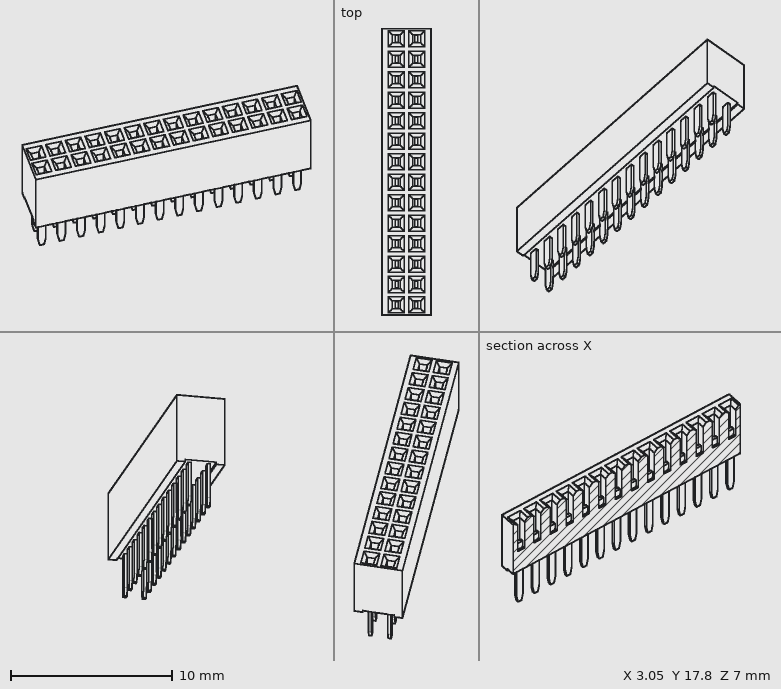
import cadquery as cq

TOTAL_HEIGHT = 7.0
HOUSING_WIDTH = 3.05
HOUSING_LENGTH = 17.78
HOUSING_HEIGHT = 4.4
CHANNEL_WIDTH = 2.0
CHANNEL_DEPTH = 0.15

ROWS = 14
PITCH = HOUSING_LENGTH / ROWS
PIN_COLUMN_SPACING = 1.23

FUNNEL_MOUTH = 1.0
WELL_SIDE = 0.5
FUNNEL_DEPTH = (FUNNEL_MOUTH - WELL_SIDE) / 2
WELL_DEPTH = 2.49

CONTACT_THICKNESS = 0.2
PIN_WIDTH = 0.5
PIN_TIP_WIDTH = 0.28
PIN_TIP_LENGTH = 0.53
PIN_ROOT_DEPTH = 0.18
BLADE_WIDTH = 0.43
BLADE_DEPTH = 1.95

TOP = TOTAL_HEIGHT
FUNNEL_FLOOR = TOP - FUNNEL_DEPTH
BLADE_TOP = TOP - BLADE_DEPTH
WELL_FLOOR = TOP - WELL_DEPTH
HOUSING_BOTTOM = TOP - HOUSING_HEIGHT
CHANNEL_CEILING = HOUSING_BOTTOM + CHANNEL_DEPTH
PIN_TOP = CHANNEL_CEILING + PIN_ROOT_DEPTH


def contact_centres(column_spacing):
    """X, Y centres of both columns for a given distance between them."""
    first_row = -PITCH * (ROWS - 1) / 2
    return [
        (x, first_row + row * PITCH)
        for x in (-column_spacing / 2, column_spacing / 2)
        for row in range(ROWS)
    ]


def box(width, length, bottom, top):
    """Box centred on the Z axis between two heights."""
    return cq.Workplane("XY", origin=(0, 0, bottom)).rect(width, length).extrude(top - bottom)


def copies(shape, centres):
    """List of copies of a shape, one at each X, Y centre."""
    solid = shape.val()
    return [solid.translate(cq.Vector(x, y, 0)) for x, y in centres]


def housing():
    block = box(HOUSING_WIDTH, HOUSING_LENGTH, HOUSING_BOTTOM, TOP)
    channel = box(CHANNEL_WIDTH, HOUSING_LENGTH, HOUSING_BOTTOM, CHANNEL_CEILING)
    return block.cut(channel)


def socket():
    funnel = (
        cq.Workplane("XY", origin=(0, 0, TOP))
        .rect(FUNNEL_MOUTH, FUNNEL_MOUTH)
        .workplane(offset=-FUNNEL_DEPTH)
        .rect(WELL_SIDE, WELL_SIDE)
        .loft(ruled=True)
    )
    well = box(WELL_SIDE, WELL_SIDE, WELL_FLOOR, FUNNEL_FLOOR)
    return funnel.union(well)


def pin():
    outline = [
        (-PIN_TIP_WIDTH / 2, 0),
        (PIN_TIP_WIDTH / 2, 0),
        (PIN_WIDTH / 2, PIN_TIP_LENGTH),
        (PIN_WIDTH / 2, PIN_TOP),
        (-PIN_WIDTH / 2, PIN_TOP),
        (-PIN_WIDTH / 2, PIN_TIP_LENGTH),
    ]
    return cq.Workplane("YZ").polyline(outline).close().extrude(CONTACT_THICKNESS / 2, both=True)


def contact():
    blade = box(CONTACT_THICKNESS, BLADE_WIDTH, CHANNEL_CEILING, BLADE_TOP)
    return pin().union(blade)


sockets = copies(socket(), contact_centres(PITCH))
contacts = copies(contact(), contact_centres(PIN_COLUMN_SPACING))

connector = housing().val().cut(*sockets).fuse(*contacts)
result = cq.Workplane("XY").newObject(connector.Solids())